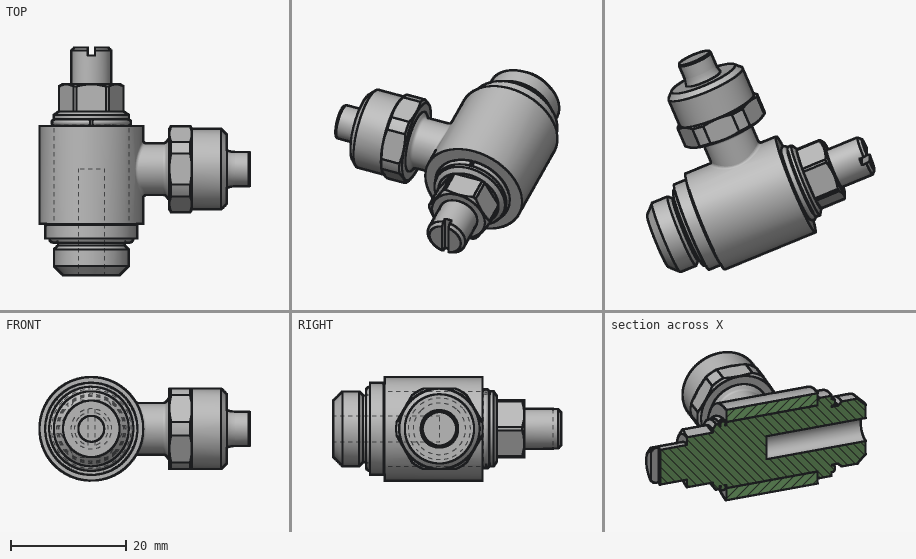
import cadquery as cq
import math


CHAMFER_30 = math.tan(math.radians(30))

sleeve_radius = 9.0
sleeve_front_y = -9.5
sleeve_back_y = 7.5
bore_radius = 6.5

arm_neck_radius = 4.5
arm_root_fillet = 0.5
flare_start_x = 12.5
flare_fillet = 0.6
flare_angle = math.radians(50)
nut_start_x = 13.5
nut_end_x = 17.45
nut_across_flats = 14.0
nut_corner_radius = 7.5
nut_face_radius = 6.93
cap_radius = 7.0
cap_end_x = 23.5
cap_chamfer = 1.0
stub_root_radius = 3.25
stub_radius = 3.0
stub_straight_x = 24.9
stub_end_x = 27.5
stub_end_chamfer_length = 0.25
stub_end_chamfer_depth = 0.1

tip_front_y = -18.4
tip_chamfer = 1.6
thread_radius = 6.5
thread_back_y = -13.9
thread_bore_radius = 2.25
thread_bore_end_y = 0.0
relief_radius = 5.8
relief_front_y = thread_back_y + (thread_radius - relief_radius)
flange_radius = 8.0
flange_front_y = -12.05
flange_back_y = -9.7
spacer_radius = 7.85
collar_radius = 6.55
collar_groove_radius = 6.0
collar_groove_back_y = 8.68
collar_chamfer_length = 0.62
hex_front_y = 10.0
hex_back_y = 14.75
hex_across_flats = 10.0
hex_corner_radius = 5.62
hex_face_radius = 4.9
pin_radius = 3.5
pin_back_y = 21.11
pin_chamfer = 0.6
slot_width = 1.2
slot_depth = 1.4

seal_wire_radius = 0.75
seal_ring_radius = 6.55
seal_y = -12.0
clip_wire_radius = 0.55
clip_ring_radius = 6.35
clip_y = sleeve_back_y + clip_wire_radius
clip_gap = 0.5


def turned_about_x(profile):
    """Full revolution about X of an XY profile that lies on the +Y side."""
    return profile.close().revolve(360, (0, 0, 0), (1, 0, 0))


def turned_about_y(profile):
    """Full revolution about Y of an XY profile that lies on the +X side."""
    return profile.close().revolve(360, (0, 0, 0), (0, 1, 0))


def hexagon(plane, across_flats, length):
    """Hexagonal prism along the plane's normal, two corners on its local X axis."""
    across_corners = across_flats / math.cos(math.radians(30))
    return cq.Workplane(plane).polygon(6, across_corners).extrude(length)


def ring(ring_radius, wire_radius, y):
    """Round-section ring about the Y axis, centred at the given Y."""
    section = cq.Workplane("XY").center(ring_radius, y).circle(wire_radius)
    return section.revolve(360, (-ring_radius, 0, 0), (-ring_radius, 1, 0))


def make_nut():
    """Hexagon with its corners trimmed round and chamfered 30 degrees at both ends."""
    plane = cq.Plane(origin=(nut_start_x, 0, 0), xDir=(0, 1, 0), normal=(1, 0, 0))
    prism = hexagon(plane, nut_across_flats, nut_end_x - nut_start_x)
    drop = (nut_corner_radius - nut_face_radius) * CHAMFER_30
    envelope = turned_about_x(
        cq.Workplane("XY")
        .moveTo(nut_start_x, 0)
        .lineTo(nut_start_x, nut_face_radius)
        .lineTo(nut_start_x + drop, nut_corner_radius)
        .lineTo(nut_end_x - drop, nut_corner_radius)
        .lineTo(nut_end_x, nut_face_radius)
        .lineTo(nut_end_x, 0)
    )
    return prism.intersect(envelope)


def make_arm_end():
    """Flare in front of the nut, then the round cap and the hose stub behind it."""
    cone_start_x = flare_start_x + flare_fillet * math.sin(flare_angle)
    cone_start_radius = arm_neck_radius + flare_fillet * (1 - math.cos(flare_angle))
    cone_end_radius = cone_start_radius + (nut_start_x - cone_start_x) * math.tan(flare_angle)
    flare = turned_about_x(
        cq.Workplane("XY")
        .moveTo(flare_start_x, 0)
        .lineTo(flare_start_x, arm_neck_radius)
        .radiusArc((cone_start_x, cone_start_radius), -flare_fillet)
        .lineTo(nut_start_x, cone_end_radius)
        .lineTo(nut_start_x, 0)
    )
    root_length = stub_straight_x - cap_end_x
    root_rise = stub_root_radius - stub_radius
    root_arc_radius = (root_length**2 + root_rise**2) / (2 * root_rise)
    cap_and_stub = turned_about_x(
        cq.Workplane("XY")
        .moveTo(nut_end_x, 0)
        .lineTo(nut_end_x, cap_radius)
        .lineTo(cap_end_x - cap_chamfer, cap_radius)
        .lineTo(cap_end_x, cap_radius - cap_chamfer)
        .lineTo(cap_end_x, stub_root_radius)
        .radiusArc((stub_straight_x, stub_radius), -root_arc_radius)
        .lineTo(stub_end_x - stub_end_chamfer_length, stub_radius)
        .lineTo(stub_end_x, stub_radius - stub_end_chamfer_depth)
        .lineTo(stub_end_x, 0)
    )
    return flare.union(cap_and_stub)


def make_housing():
    """Sleeve with the side arm, filleted at its root, and a bore for the screw."""
    sleeve_end = cq.Workplane("XZ", origin=(0, sleeve_back_y, 0))
    sleeve_length = sleeve_back_y - sleeve_front_y
    sleeve = sleeve_end.circle(sleeve_radius).extrude(sleeve_length)
    bore = sleeve_end.circle(bore_radius).extrude(sleeve_length)
    neck = cq.Workplane("YZ").circle(arm_neck_radius).extrude(flare_start_x)
    body = sleeve.union(neck)
    root_box_half = arm_neck_radius + arm_root_fillet
    root_edge = cq.selectors.BoxSelector(
        (0, -root_box_half, -root_box_half),
        (sleeve_radius + arm_root_fillet, root_box_half, root_box_half),
        boundingbox=True,
    )
    body = body.edges(root_edge).fillet(arm_root_fillet)
    return body.union(make_nut()).union(make_arm_end()).cut(bore)


def make_screw_hex():
    """Wrench hexagon, corners trimmed round and chamfered 30 degrees at the back."""
    plane = cq.Plane(origin=(0, hex_front_y, 0), xDir=(1, 0, 0), normal=(0, 1, 0))
    prism = hexagon(plane, hex_across_flats, hex_back_y - hex_front_y)
    drop = (hex_corner_radius - hex_face_radius) * CHAMFER_30
    envelope = turned_about_y(
        cq.Workplane("XY")
        .moveTo(0, hex_front_y)
        .lineTo(hex_corner_radius, hex_front_y)
        .lineTo(hex_corner_radius, hex_back_y - drop)
        .lineTo(hex_face_radius, hex_back_y)
        .lineTo(0, hex_back_y)
    )
    return prism.intersect(envelope)


def make_screw_core():
    """Turned threaded end, flange, shank in the housing, and collar in front of the hexagon."""
    return turned_about_y(
        cq.Workplane("XY")
        .moveTo(0, tip_front_y)
        .lineTo(thread_radius - tip_chamfer, tip_front_y)
        .lineTo(thread_radius, tip_front_y + tip_chamfer)
        .lineTo(thread_radius, thread_back_y)
        .lineTo(relief_radius, relief_front_y)
        .lineTo(relief_radius, flange_front_y)
        .lineTo(flange_radius, flange_front_y)
        .lineTo(flange_radius, flange_back_y)
        .lineTo(spacer_radius, flange_back_y)
        .lineTo(spacer_radius, sleeve_front_y)
        .lineTo(bore_radius, sleeve_front_y)
        .lineTo(bore_radius, sleeve_back_y)
        .lineTo(collar_groove_radius, sleeve_back_y)
        .lineTo(collar_groove_radius, collar_groove_back_y)
        .lineTo(collar_radius, collar_groove_back_y)
        .lineTo(collar_radius, hex_front_y - collar_chamfer_length)
        .lineTo(hex_corner_radius, hex_front_y)
        .lineTo(0, hex_front_y)
    )


def make_screw_pin():
    """Round pin with a chamfered, slotted end."""
    pin = turned_about_y(
        cq.Workplane("XY")
        .moveTo(0, hex_back_y)
        .lineTo(pin_radius, hex_back_y)
        .lineTo(pin_radius, pin_back_y - pin_chamfer)
        .lineTo(pin_radius - pin_chamfer, pin_back_y)
        .lineTo(0, pin_back_y)
    )
    slot = (
        cq.Workplane("XY", origin=(0, pin_back_y - slot_depth / 2, 0))
        .box(slot_width, slot_depth, 2 * pin_radius)
    )
    return pin.cut(slot)


def make_clip_ring():
    """Retaining ring behind the housing, split at its top."""
    clip = ring(clip_ring_radius, clip_wire_radius, clip_y)
    gap = (
        cq.Workplane("XY", origin=(0, clip_y, clip_ring_radius))
        .box(clip_gap, 2 * clip_wire_radius, 2 * clip_wire_radius)
    )
    return clip.cut(gap)


def make_screw():
    """Screw with its seal ring and retaining ring, and a blind bore in the threaded end."""
    seal = ring(seal_ring_radius, seal_wire_radius, seal_y)
    bore = (
        cq.Workplane("XZ", origin=(0, thread_bore_end_y, 0))
        .circle(thread_bore_radius)
        .extrude(thread_bore_end_y - tip_front_y)
    )
    screw = make_screw_core().cut(bore)
    for feature in (make_screw_hex(), make_screw_pin(), seal, make_clip_ring()):
        screw = screw.union(feature)
    return screw


housing = make_housing()
screw = make_screw()
result = cq.Compound.makeCompound([housing.solids().val(), screw.solids().val()])